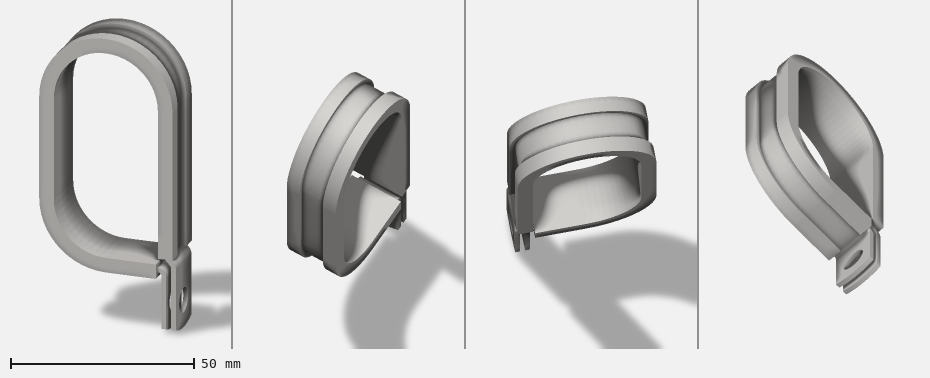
import cadquery as cq
import math


loop_width = 15.75
outer_radius = 19.3
rubber_thickness = 4.25
straight_length = 30.05
foot_end_x = 14.5
leg_end_z = -13.3

groove_width = 7.4
groove_depth = 1.45

strap_width = 12.7
strap_thickness = 1.4
tail_gap = 1.45
tail_overhang = 0.4
bend_radius = 1.8
jog_angle = math.radians(45)
embed_length = 1.7
jog_inset = 0.3

tail_drop = 16.4
tip_rise = 1.4
hole_diameter = 7.2
hole_height = 8.0

tip_z = -outer_radius - tail_drop
strap_mid_radius = outer_radius - groove_depth - strap_thickness / 2
outer_tail_x = outer_radius + tail_overhang - strap_thickness / 2
inner_tail_x = outer_tail_x - strap_thickness - tail_gap


def loop_band(radius, thickness, width):
    """J-shaped band with the given outer bend radius, centred on Y = 0."""
    inner = radius - thickness
    return (
        cq.Workplane("XZ")
        .moveTo(radius, leg_end_z)
        .lineTo(radius, straight_length)
        .threePointArc((0, straight_length + radius), (-radius, straight_length))
        .lineTo(-radius, 0)
        .radiusArc((0, -radius), -radius)
        .lineTo(foot_end_x, -radius)
        .lineTo(foot_end_x, -inner)
        .lineTo(0, -inner)
        .radiusArc((-inner, 0), inner)
        .lineTo(-inner, straight_length)
        .threePointArc((0, straight_length + inner), (inner, straight_length))
        .lineTo(inner, leg_end_z)
        .close()
        .extrude(width / 2, both=True)
    )


def foot_tail():
    """Tail leaving the foot end and turning straight down."""
    start_x = foot_end_x - embed_length
    path = (
        cq.Workplane("XZ")
        .moveTo(start_x, -strap_mid_radius)
        .lineTo(inner_tail_x - bend_radius, -strap_mid_radius)
        .radiusArc((inner_tail_x, -strap_mid_radius - bend_radius), bend_radius)
        .lineTo(inner_tail_x, tip_z)
    )
    section = cq.Workplane("YZ", origin=(start_x, 0, -strap_mid_radius))
    return section.rect(strap_width, strap_thickness).sweep(path)


def leg_tail():
    """Tail leaving the leg end, jogging outward and continuing down."""
    start_z = leg_end_z + embed_length
    jog_start_z = leg_end_z + jog_inset
    bend_shift = bend_radius * (1 - math.cos(jog_angle))
    bend_drop = bend_radius * math.sin(jog_angle)
    slope_shift = outer_tail_x - strap_mid_radius - 2 * bend_shift
    slope_start = (strap_mid_radius + bend_shift, jog_start_z - bend_drop)
    slope_end = (
        outer_tail_x - bend_shift,
        slope_start[1] - slope_shift / math.tan(jog_angle),
    )
    path = (
        cq.Workplane("XZ")
        .moveTo(strap_mid_radius, start_z)
        .lineTo(strap_mid_radius, jog_start_z)
        .radiusArc(slope_start, -bend_radius)
        .lineTo(*slope_end)
        .radiusArc((outer_tail_x, slope_end[1] - bend_drop), bend_radius)
        .lineTo(outer_tail_x, tip_z)
    )
    section = cq.Workplane("XY", origin=(strap_mid_radius, 0, start_z))
    return section.rect(strap_thickness, strap_width).sweep(path)


def tail_envelope():
    """Block across both tails with the curved tip and the bolt hole."""
    half = strap_width / 2
    outline = (
        cq.Workplane("YZ")
        .moveTo(-half, 0)
        .lineTo(-half, tip_z + tip_rise)
        .threePointArc((0, tip_z), (half, tip_z + tip_rise))
        .lineTo(half, 0)
        .close()
        .extrude(2 * outer_radius)
    )
    hole = (
        cq.Workplane("YZ")
        .center(0, tip_z + hole_height)
        .circle(hole_diameter / 2)
        .extrude(2 * outer_radius)
    )
    return outline.cut(hole)


rubber = loop_band(outer_radius, rubber_thickness, loop_width)
groove = loop_band(outer_radius, groove_depth, groove_width)
tails = foot_tail().union(leg_tail()).intersect(tail_envelope())

result = rubber.cut(groove).union(tails)